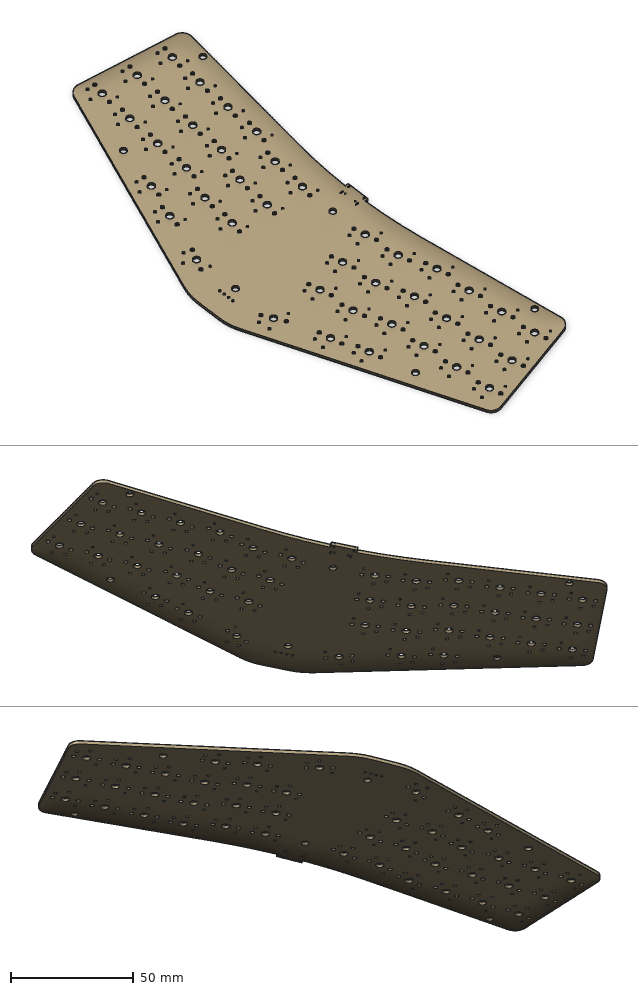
import cadquery as cq
import math


length = 242.5
depth = 98.2
thickness = 1.58
side_angle = 12.0
rear_angle = 8.0
front_angle = 21.4
corner_radius = 4.9
rear_bend_radius = 254.6
front_bend_radius = 26.7
front_flat_width = 22.3

tab_width = 11.5
tab_rear_y = 87.5
shell_slot_width = 0.6
shell_slot_x = 4.4
front_slot_length = 1.7
rear_slot_length = 1.2
rear_slot_y = 86.5
slot_row_spacing = 4.1
usb_peg_diameter = 0.65
usb_peg_x = 3.0
usb_peg_offset = 0.5

field_angle = side_angle
outer_key = (103.8, 85.0)
columns_span = 86.3
column_shifts = (0.0, 2.1, 4.4, 7.0, 4.5, 6.5)
column_keys = (3, 3, 3, 4, 4, 3)
key_pitch = columns_span / (len(column_keys) - 1)
thumb_key = (22.0, 15.5)
thumb_angle = 27.0

stem_diameter = 3.5
side_peg_diameter = 1.7
side_peg_spacing = 11.0
contact_diameter = 1.25
contact_points = ((-5.0, -4.0), (0.0, -5.8))
guide_diameter = 1.0
guide_point = (5.0, 4.1)

screw_diameter = 3.2
outer_screws = ((95.0, 93.9), (83.7, 35.7))
middle_screws_y = (72.8, 15.8)

header_diameter = 1.0
header_pins = 4
header_span = 7.5
header_y = 10.5


def slope(angle):
    return math.tan(math.radians(angle))


def turned(point, angle):
    """Rotate a point about the origin, counter-clockwise, angle in degrees."""
    c = math.cos(math.radians(angle))
    s = math.sin(math.radians(angle))
    return (point[0] * c - point[1] * s, point[0] * s + point[1] * c)


def shifted(point, origin):
    return (point[0] + origin[0], point[1] + origin[1])


def corner_trim(radius, corner_angle, axis_angle):
    """How far rounding a corner pulls its extreme point back along an axis.

    corner_angle is the inside angle; axis_angle is between its bisector and the axis.
    """
    centre_distance = radius / math.sin(math.radians(corner_angle / 2))
    return centre_distance * math.cos(math.radians(axis_angle)) - radius


def plate():
    """Seven-sided plate with rounded corners, sized to the overall length and depth."""
    front_bend_x = front_flat_width / 2

    front_corner_angle = 90 - side_angle + front_angle
    front_bisector = (90 - side_angle - front_angle) / 2
    front_corner_x = length / 2 + corner_trim(corner_radius, front_corner_angle, front_bisector)
    front_corner_y = (front_corner_x - front_bend_x) * slope(front_angle)

    rear_corner_angle = 90 + side_angle - rear_angle
    rear_bisector = 90 - rear_angle - rear_corner_angle / 2
    rear_corner_y = depth + corner_trim(corner_radius, rear_corner_angle, rear_bisector)
    rear_corner_x = front_corner_x - (rear_corner_y - front_corner_y) * slope(side_angle)
    rear_middle_y = rear_corner_y - rear_corner_x * slope(rear_angle)

    right_corners = [(front_corner_x, front_corner_y), (rear_corner_x, rear_corner_y)]
    left_corners = [(-x, y) for x, y in reversed(right_corners)]
    front_bends = [(-front_bend_x, 0), (front_bend_x, 0)]
    rear_bend = (0, rear_middle_y)
    outline = front_bends + right_corners + [rear_bend] + left_corners
    body = cq.Workplane("XY").polyline(outline).close().extrude(thickness)

    roundings = [(corner, corner_radius) for corner in right_corners + left_corners]
    roundings += [(bend, front_bend_radius) for bend in front_bends]
    roundings.append((rear_bend, rear_bend_radius))
    for (x, y), radius in roundings:
        edge = cq.NearestToPointSelector((x, y, thickness / 2))
        body = body.edges("|Z").edges(edge).fillet(radius)
    return body


def usb_tab():
    """Small tongue behind the rear edge for the USB connector, overlapping the plate to merge with it."""
    tab_depth = tab_rear_y - middle_screws_y[0]
    tab = cq.Workplane("XY").box(tab_width, tab_depth, thickness, centered=(True, False, False))
    return tab.translate((0, middle_screws_y[0], 0))


def round_holes(points, diameter):
    return cq.Workplane("XY").pushPoints(points).circle(diameter / 2).extrude(thickness)


def shell_slots(y, slot_length):
    """Pair of slots for the legs of the connector shell."""
    points = [(-shell_slot_x, y), (shell_slot_x, y)]
    return cq.Workplane("XY").pushPoints(points).slot2D(slot_length, shell_slot_width, 90).extrude(thickness)


def right_keys():
    """Centre and turn of every key of the right half."""
    keys = [(thumb_key, thumb_angle)]
    for column, (shift, count) in enumerate(zip(column_shifts, column_keys)):
        for row in range(count):
            offset = (-column * key_pitch, shift - row * key_pitch)
            keys.append((shifted(turned(offset, field_angle), outer_key), field_angle))
    return keys


def key_points(keys, points):
    """Place switch hole points on every key."""
    return [shifted(turned(point, angle), centre) for centre, angle in keys for point in points]


keys = right_keys()
keys += [((-x, y), -angle) for (x, y), angle in keys]

side_pegs = ((-side_peg_spacing / 2, 0), (side_peg_spacing / 2, 0))
screws = [(side * x, y) for x, y in outer_screws for side in (-1, 1)]
screws += [(0, y) for y in middle_screws_y]
header_pitch = header_span / (header_pins - 1)
header = [(pin * header_pitch - header_span / 2, header_y) for pin in range(header_pins)]
front_slot_y = rear_slot_y - slot_row_spacing
usb_pegs = [(side * usb_peg_x, front_slot_y + usb_peg_offset) for side in (-1, 1)]

hole_groups = [
    (key_points(keys, [(0, 0)]), stem_diameter),
    (key_points(keys, side_pegs), side_peg_diameter),
    (key_points(keys, contact_points), contact_diameter),
    (key_points(keys, [guide_point]), guide_diameter),
    (screws, screw_diameter),
    (header, header_diameter),
    (usb_pegs, usb_peg_diameter),
]

result = plate().union(usb_tab())
for points, diameter in hole_groups:
    result = result.cut(round_holes(points, diameter))
result = result.cut(shell_slots(front_slot_y, front_slot_length))
result = result.cut(shell_slots(rear_slot_y, rear_slot_length))